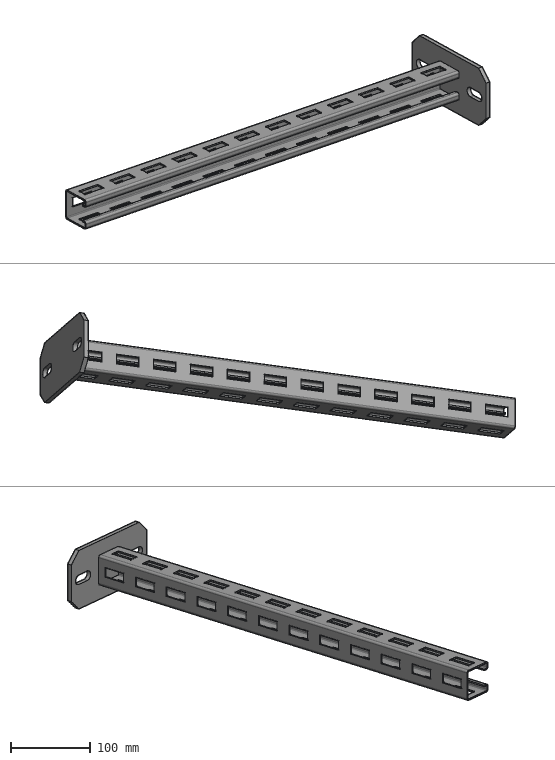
import cadquery as cq

overall_length = 606.0
plate_thickness = 6.0
rail_length = overall_length - plate_thickness
plate_center_y = rail_length + plate_thickness / 2

plate_width = 150.0
plate_height = 80.0
corner_chamfer = 15.0
plate_slot_length = 29.5
plate_slot_width = 13.0
plate_slot_offset = 51.5

rail_size = 41.0
wall = 2.0
bend_radius = 3.0
inner_bend_radius = bend_radius - wall
mouth_height = 20.0
lip_height = (rail_size - mouth_height) / 2
lip_return = 7.0

slot_count = 12
slot_pitch = rail_length / slot_count
slot_length = 30.0
slot_width = 13.0


def make_plate():
    """Chamfered wall plate with one horizontal mounting slot on each side."""
    plate = (
        cq.Workplane("XY")
        .box(plate_width, plate_thickness, plate_height)
        .edges("|Y")
        .chamfer(corner_chamfer)
    )
    slots = (
        cq.Workplane("XZ")
        .pushPoints([(-plate_slot_offset, 0), (plate_slot_offset, 0)])
        .slot2D(plate_slot_length, plate_slot_width)
        .extrude(plate_thickness, both=True)
    )
    return plate.cut(slots).translate((0, plate_center_y, 0))


def make_rail_blank():
    """Bent-sheet C-section: web, two flanges, and a lip with an inward return on each flange."""
    half = rail_size / 2
    return_tip_x = half - lip_return
    outer_return_z = half - lip_height
    inner_half = half - wall
    inner_return_z = outer_return_z + wall
    section = (
        cq.Workplane("XZ")
        .moveTo(return_tip_x, outer_return_z)
        .lineTo(half, outer_return_z)
        .lineTo(half, half)
        .lineTo(-half, half)
        .lineTo(-half, -half)
        .lineTo(half, -half)
        .lineTo(half, -outer_return_z)
        .lineTo(return_tip_x, -outer_return_z)
        .lineTo(return_tip_x, -inner_return_z)
        .lineTo(inner_half, -inner_return_z)
        .lineTo(inner_half, -inner_half)
        .lineTo(-inner_half, -inner_half)
        .lineTo(-inner_half, inner_half)
        .lineTo(inner_half, inner_half)
        .lineTo(inner_half, inner_return_z)
        .lineTo(return_tip_x, inner_return_z)
        .close()
    )
    blank = section.extrude(-rail_length)
    outer_bends = [
        (half, half),
        (-half, half),
        (half, outer_return_z),
    ]
    inner_bends = [
        (inner_half, inner_half),
        (-inner_half, inner_half),
        (inner_half, inner_return_z),
    ]
    blank = round_bends(blank, outer_bends, bend_radius)
    return round_bends(blank, inner_bends, inner_bend_radius)


def round_bends(blank, bends, radius):
    """Fillet the lengthwise edges at the given (x, z) bends and at their mirror images below."""
    edges = cq.Workplane("XY")
    for x, z in bends:
        for bend_z in (z, -z):
            middle = (x, rail_length / 2, bend_z)
            edges = edges.add(blank.edges(cq.selectors.NearestToPointSelector(middle)))
    return blank.newObject(edges.vals()).fillet(radius)


def make_rail():
    """C-section rail with evenly pitched slots through the web and through both flanges."""
    rail = make_rail_blank()
    web_x = (wall - rail_size) / 2
    flange_cut = cq.Workplane("XY").box(slot_width, slot_length, 2 * rail_size)
    web_cut = cq.Workplane("XY").box(2 * wall, slot_length, slot_width)
    first_slot_y = slot_pitch / 2
    for index in range(slot_count):
        slot_y = first_slot_y + index * slot_pitch
        rail = rail.cut(flange_cut.translate((0, slot_y, 0)))
        rail = rail.cut(web_cut.translate((web_x, slot_y, 0)))
    return rail


plate = make_plate()
rail = make_rail()
result = cq.Compound.makeCompound([plate.val(), rail.val()])